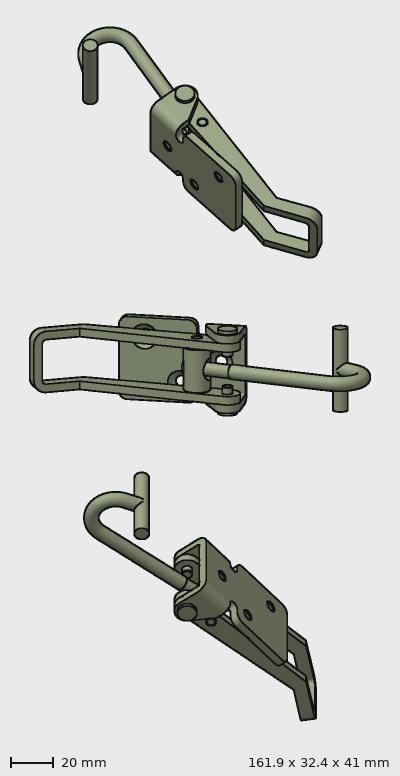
import cadquery as cq
import math


sheet = 4.0
lever_half_width = 29.6 / 2
ear_outer_z = lever_half_width + sheet
lever_inner_z = lever_half_width - sheet

ear_radius = 6.0
ear_end_x = 12.0
ear_slant_end_y = -8.3
plate_back_y = -16.2
plate_front_y = plate_back_y + sheet
bend_outer_radius = 5.0
bend_inner_radius = bend_outer_radius - sheet
pad_start_x = 17.0
pad_end_x = 54.0
pad_half_width = 20.0
pad_corner_radius = 4.0
relief_radius = (pad_start_x - ear_end_x) / 2
relief_z = 14.0
screw_hole_radius = 2.8
screw_hole_land = 0.8
screw_holes = [(6.0, 0.0), (25.0, -10.8), (42.0, 10.8)]

rivet_head_radius = 4.5
rivet_outer_z = 41.0 / 2
rivet_shank_radius = 2.5
rivet_inner_z = 7.3
rivet_tip_chamfer = 0.3

trunnion_center = (14.9, -2.3)
trunnion_radius = 6.3
trunnion_chamfer = 0.5
spigot_radius = 2.0
spigot_hole_radius = 2.5
countersink_radius = 5.3

lever_eye_radius = 6.0
lever_top_bend = (71.4, -6.0)
lever_bottom_bend = (71.0, -13.6)
handle_angle = 29.3
lever_tip = (94.2, -1.0)
handle_depth = 6.8
handle_outer_corner = 6.0
handle_inner_corner = handle_outer_corner - sheet
lever_reach = 129.5

rod_radius = 7.0 / 2
thread_radius = 3.2
thread_length = 23.5
hook_center = (-52.8, 0.0)
hook_outer_radius = 14.9
hook_radius = hook_outer_radius - rod_radius
hook_leg_angle = -28.0
hook_leg_length = 8.3
crossbar_half_length = 40.0 / 2


def polar(center, radius, degrees):
    """Point at the given radius and direction from a center."""
    turn = math.radians(degrees)
    return (center[0] + radius * math.cos(turn), center[1] + radius * math.sin(turn))


def tangent_point(point, radius, side):
    """Where a line from the point touches a circle about the origin; side is 1 or -1."""
    toward_point = math.degrees(math.atan2(point[1], point[0]))
    swing = math.degrees(math.acos(radius / math.hypot(*point)))
    return polar((0, 0), radius, toward_point + side * swing)


def slab(z_low, z_high):
    """Workplane at z_low together with the height up to z_high."""
    return cq.Workplane("XY").workplane(offset=z_low), z_high - z_low


def cylinder(center, radius, z_low, z_high):
    """Cylinder along Z."""
    plane, height = slab(z_low, z_high)
    return plane.center(*center).circle(radius).extrude(height)


def block(x_low, x_high, y_low, y_high, half_width):
    """Rectangular block that is symmetric about Z = 0."""
    plane, height = slab(-half_width, half_width)
    size_x = x_high - x_low
    size_y = y_high - y_low
    return plane.center(x_low + size_x / 2, y_low + size_y / 2).rect(size_x, size_y).extrude(height)


def make_channel():
    """Folded part of the bracket: two rounded ears joined by the web."""
    outer = block(-ear_radius, ear_end_x, plate_back_y, ear_radius, ear_outer_z)
    outer = outer.edges("|X and <Y").fillet(bend_outer_radius)
    inner = block(-ear_radius, ear_end_x, plate_front_y, ear_radius, lever_half_width)
    inner = inner.edges("|X and <Y").fillet(bend_inner_radius)

    slant_start = tangent_point((ear_end_x, ear_slant_end_y), ear_radius, 1)
    plane, height = slab(-ear_outer_z, ear_outer_z)
    side_outline = (
        plane.moveTo(-ear_radius, plate_back_y)
        .lineTo(ear_end_x, plate_back_y)
        .lineTo(ear_end_x, ear_slant_end_y)
        .lineTo(*slant_start)
        .threePointArc((0, ear_radius), (-ear_radius, 0))
        .close()
        .extrude(height)
    )
    return outer.cut(inner).intersect(side_outline)


def countersunk_hole():
    """Cutter for a screw hole along +Y that widens at 45 degrees towards the lever side of the plate."""
    half_section = cq.Workplane("XY").polyline(
        [
            (0, 0),
            (screw_hole_radius, 0),
            (screw_hole_radius, screw_hole_land),
            (screw_hole_radius + sheet - screw_hole_land, sheet),
            (0, sheet),
        ]
    )
    return half_section.close().revolve(360, (0, 0, 0), (0, 1, 0))


def make_bracket():
    """Mounting plate with folded ears, bend reliefs and screw holes."""
    pad = block(pad_start_x, pad_end_x, plate_back_y, plate_front_y, pad_half_width)
    pad = pad.edges("|Y").fillet(pad_corner_radius)
    neck = block(ear_end_x, pad_start_x, plate_back_y, plate_front_y, relief_z)
    bracket = make_channel().union(neck).union(pad)

    relief_x = ear_end_x + relief_radius
    plate_front = cq.Workplane("XZ").workplane(offset=-plate_front_y)
    reliefs = plate_front.pushPoints([(relief_x, relief_z), (relief_x, -relief_z)])
    bracket = bracket.cut(reliefs.circle(relief_radius).extrude(sheet))
    for x, z in screw_holes:
        bracket = bracket.cut(countersunk_hole().translate((x, plate_back_y, z)))
    rivet_hole = cylinder((0, 0), rivet_shank_radius, -ear_outer_z, ear_outer_z)
    return bracket.cut(rivet_hole)


def handle_block(end_gap, half_width, corner_radius):
    """Block along the cranked handle, ending at a gap from its tip with rounded corners."""
    beam = block(-lever_reach, -end_gap, -lever_reach, lever_reach, half_width)
    beam = beam.edges("|Y and >X").fillet(corner_radius)
    return beam.rotate((0, 0, 0), (0, 0, 1), handle_angle).translate((*lever_tip, 0))


def make_lever():
    """U-shaped lever: two tapered arms and a cranked handle closed by a crossbar."""
    tip_top = polar(lever_tip, handle_depth, handle_angle + 90)
    eye_bottom = tangent_point(lever_bottom_bend, lever_eye_radius, -1)
    eye_top = tangent_point(lever_top_bend, lever_eye_radius, 1)
    plane, height = slab(-lever_half_width, lever_half_width)
    profile = (
        plane.moveTo(*eye_bottom)
        .lineTo(*lever_bottom_bend)
        .lineTo(*lever_tip)
        .lineTo(*tip_top)
        .lineTo(*lever_top_bend)
        .lineTo(*eye_top)
        .threePointArc((-lever_eye_radius, 0), eye_bottom)
        .close()
        .extrude(height)
    )
    envelope = handle_block(0, lever_half_width, handle_outer_corner)
    opening = handle_block(sheet, lever_inner_z, handle_inner_corner)
    rivet_hole = cylinder((0, 0), rivet_shank_radius, -lever_half_width, lever_half_width)
    spigot_hole = cylinder(trunnion_center, spigot_hole_radius, -lever_half_width, lever_half_width)
    return profile.intersect(envelope).cut(opening).cut(rivet_hole).cut(spigot_hole)


def make_rivet(side):
    """Headed rivet through one ear and lever arm; side is 1 for +Z and -1 for -Z."""
    shank = cylinder((0, 0), rivet_shank_radius, rivet_inner_z, ear_outer_z)
    shank = shank.edges("<Z").chamfer(rivet_tip_chamfer)
    head = cylinder((0, 0), rivet_head_radius, ear_outer_z, rivet_outer_z)
    rivet = shank.union(head)
    if side < 0:
        rivet = rivet.mirror("XY")
    return rivet


def rod_tilt():
    """Angle of the straight rod, which leaves the hook bend tangentially and crosses the trunnion."""
    rise = trunnion_center[1] - hook_center[1]
    run = trunnion_center[0] - hook_center[0]
    return math.degrees(math.atan2(rise, run) - math.asin(hook_radius / math.hypot(run, rise)))


def make_trunnion():
    """Barrel between the lever arms, with end spigots and a countersunk cross hole for the rod."""
    barrel = cylinder(trunnion_center, trunnion_radius, -lever_inner_z, lever_inner_z)
    barrel = barrel.edges("%CIRCLE").chamfer(trunnion_chamfer)
    spigots = cylinder(trunnion_center, spigot_radius, -lever_half_width, lever_half_width)
    half_section = cq.Workplane("XY").polyline(
        [
            (-trunnion_radius, 0),
            (-trunnion_radius, countersink_radius),
            (-trunnion_radius + countersink_radius - thread_radius, thread_radius),
            (trunnion_radius, thread_radius),
            (trunnion_radius, 0),
        ]
    )
    rod_hole = half_section.close().revolve(360, (0, 0, 0), (1, 0, 0))
    rod_hole = rod_hole.rotate((0, 0, 0), (0, 0, 1), rod_tilt()).translate((*trunnion_center, 0))
    return barrel.union(spigots).cut(rod_hole)


def make_hook():
    """Round rod with a reduced end in the trunnion, bent into a hook that ends in a crossbar."""
    tilt = rod_tilt()
    thread_end = polar(trunnion_center, trunnion_radius, tilt)
    thread_start = polar(thread_end, -thread_length, tilt)
    bend_start = polar(hook_center, hook_radius, tilt + 90)
    bend_middle = polar(hook_center, hook_radius, (tilt + hook_leg_angle) / 2 + 180)
    bend_end = polar(hook_center, hook_radius, hook_leg_angle - 90)
    crossbar_center = polar(bend_end, hook_leg_length, hook_leg_angle)

    rod_direction = polar((0, 0), 1, tilt)
    section_plane = cq.Plane(origin=(*thread_start, 0), xDir=(0, 0, 1), normal=(*rod_direction, 0))
    section = cq.Workplane(section_plane)
    path = (
        cq.Workplane("XY")
        .moveTo(*thread_start)
        .lineTo(*bend_start)
        .threePointArc(bend_middle, bend_end)
        .lineTo(*crossbar_center)
    )
    rod = section.circle(rod_radius).sweep(path)
    thread = section.circle(thread_radius).extrude(thread_length)
    crossbar = cylinder(crossbar_center, rod_radius, -crossbar_half_length, crossbar_half_length)
    return rod.union(thread).union(crossbar)


bracket = make_bracket().solids()
lever = make_lever().solids()
trunnion = make_trunnion().solids()
hook = make_hook().solids()
rivets = [make_rivet(side).solids() for side in (1, -1)]

result = cq.Compound.makeCompound(
    [bracket.val(), lever.val(), trunnion.val(), hook.val(), *[rivet.val() for rivet in rivets]]
)